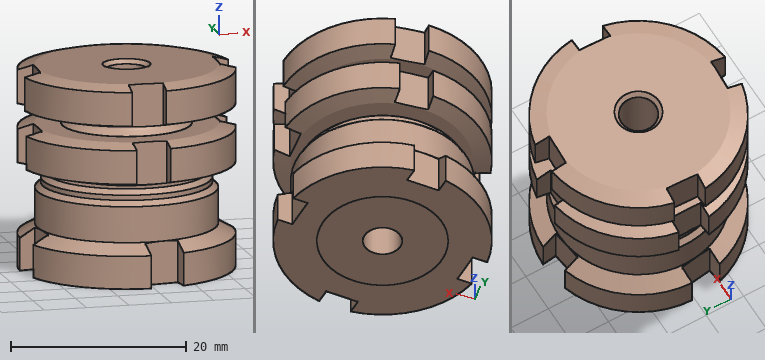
import cadquery as cq
import math

outer_radius = 12.5
total_height = 23.53
rim_inset = 2.0
shoulder_radius = outer_radius - rim_inset

slot_count = 4
slot_width = 4.0
slot_floor_radius = shoulder_radius
head_slot_angle = -2.5
nut_slot_angle = 0.0
base_slot_angle = 7.7

disc_height = 5.0
disc_bevel = rim_inset * math.tan(math.radians(15))

base_height = 11.0
base_flange_height = 5.0
base_bevel = rim_inset * math.tan(math.radians(30))
step_radius = 9.82
step_height = 0.6

stem_radius = 7.5
neck_radius = 6.7
neck_length = 0.72
neck_fillet = 0.7
nut_bottom = 11.75
bore_radius = 2.25
bore_chamfer = 0.5

head_bottom = total_height - disc_height


def revolve(outline):
    """Turn a closed outline, drawn as radius and height, around the Z axis."""
    return outline.close().revolve(360, (0, 0, 0), (0, 1, 0))


def cut_slots(body, bottom, height, start_angle):
    """Cut the spanner slots through a rim, the first one turned from +X by start_angle."""
    slot_length = outer_radius
    slot = cq.Workplane("XY").box(slot_length, slot_width, height, centered=(False, True, False))
    slot = slot.translate((slot_floor_radius, 0, bottom))
    for index in range(slot_count):
        angle = start_angle + index * 360 / slot_count
        body = body.cut(slot.rotate((0, 0, 0), (0, 0, 1), angle))
    return body


def make_disc(bottom, slot_angle):
    """Round disc with both rims bevelled and spanner slots around it."""
    top = bottom + disc_height
    disc = revolve(
        cq.Workplane("XZ")
        .moveTo(0, bottom)
        .lineTo(shoulder_radius, bottom)
        .lineTo(outer_radius, bottom + disc_bevel)
        .lineTo(outer_radius, top - disc_bevel)
        .lineTo(shoulder_radius, top)
        .lineTo(0, top)
    )
    return cut_slots(disc, bottom, disc_height, slot_angle)


def make_stem():
    """Stem from the underside of the base up to the head, with a relieved neck."""
    neck_bottom = head_bottom - neck_length
    arc_angle = math.radians(45)
    arc_drop = neck_fillet * math.sin(arc_angle)
    arc_mid_drop = neck_fillet * math.sin(arc_angle / 2)
    arc_end_radius = neck_radius + neck_fillet * (1 - math.cos(arc_angle))
    arc_mid_radius = neck_radius + neck_fillet * (1 - math.cos(arc_angle / 2))
    taper_bottom = neck_bottom - arc_drop - (stem_radius - arc_end_radius)
    return revolve(
        cq.Workplane("XZ")
        .lineTo(stem_radius, 0)
        .lineTo(stem_radius, taper_bottom)
        .lineTo(arc_end_radius, neck_bottom - arc_drop)
        .threePointArc((arc_mid_radius, neck_bottom - arc_mid_drop), (neck_radius, neck_bottom))
        .lineTo(neck_radius, head_bottom)
        .lineTo(0, head_bottom)
    )


def make_bore():
    """Through bore of the spindle, with its chamfered mouth."""
    return revolve(
        cq.Workplane("XZ")
        .lineTo(bore_radius, 0)
        .lineTo(bore_radius, total_height - bore_chamfer)
        .lineTo(bore_radius + bore_chamfer, total_height)
        .lineTo(0, total_height)
    )


def make_spindle():
    """Slotted head and stem in one piece, bored right through."""
    head = make_disc(head_bottom, head_slot_angle)
    return head.union(make_stem()).cut(make_bore())


def make_lock_nut():
    """Slotted disc that fits around the stem."""
    hole = cq.Workplane("XY").workplane(offset=nut_bottom).circle(stem_radius).extrude(disc_height)
    return make_disc(nut_bottom, nut_slot_angle).cut(hole)


def make_base():
    """Slotted flange with a stepped collar, open for the stem from top to bottom."""
    chamfer_top = base_height - 2 * step_height
    base = revolve(
        cq.Workplane("XZ")
        .moveTo(stem_radius, 0)
        .lineTo(outer_radius, 0)
        .lineTo(outer_radius, base_flange_height - base_bevel)
        .lineTo(shoulder_radius, base_flange_height)
        .lineTo(shoulder_radius, chamfer_top - step_height)
        .lineTo(step_radius, chamfer_top)
        .lineTo(step_radius, chamfer_top + step_height)
        .lineTo(step_radius - step_height, base_height)
        .lineTo(stem_radius, base_height)
    )
    return cut_slots(base, 0, base_flange_height, base_slot_angle)


base = make_base()
lock_nut = make_lock_nut()
spindle = make_spindle()

result = cq.Compound.makeCompound([base.val(), lock_nut.val(), spindle.val()])